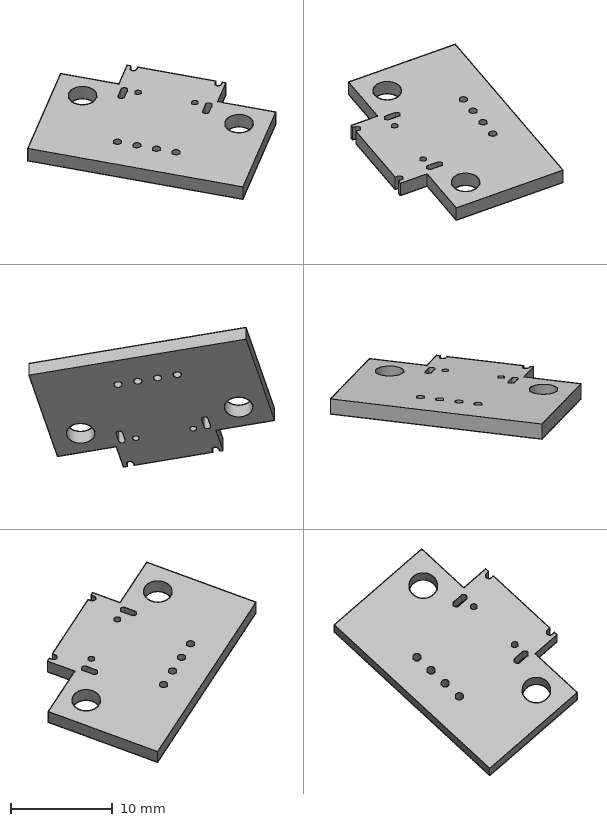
import cadquery as cq

board_width = 22.0
board_length = 15.0
thickness = 1.6
tab_width = 10.1
tab_length = 3.0
body_length = board_length - tab_length

mount_diameter = 2.8
mount_spacing = 16.0
mount_y = 9.3

pin_diameter = 0.8
pin_pitch = 2.0
pin_count = 4
pin_row_center_x = 0.22
pin_y = 3.37

peg_diameter = 0.65
peg_spacing = 5.8
connector_center_x = 0.03
peg_y = 11.25

slot_width = 0.65
slot_length = 1.7
slot_spacing = 8.65
slot_y = 10.74
notch_depth = slot_width


def mirrored_pair(center_x, spacing, y):
    """Two points set equally to the left and right of center_x."""
    return [(center_x + side * spacing / 2, y) for side in (-1, 1)]


def make_board():
    body = cq.Workplane("XY").box(board_width, body_length, thickness, centered=(True, False, False))
    tab = cq.Workplane("XY").box(tab_width, board_length, thickness, centered=(True, False, False))
    return body.union(tab)


def round_cutter(points, diameter):
    return cq.Workplane("XY").pushPoints(points).circle(diameter / 2).extrude(thickness)


def slot_cutter(points, length):
    return cq.Workplane("XY").pushPoints(points).slot2D(length, slot_width, 90).extrude(thickness)


pin_row_start_x = pin_row_center_x - pin_pitch * (pin_count - 1) / 2
pin_points = [(pin_row_start_x + i * pin_pitch, pin_y) for i in range(pin_count)]

result = make_board()
result = result.cut(round_cutter(mirrored_pair(0, mount_spacing, mount_y), mount_diameter))
result = result.cut(round_cutter(pin_points, pin_diameter))
result = result.cut(round_cutter(mirrored_pair(connector_center_x, peg_spacing, peg_y), peg_diameter))
result = result.cut(slot_cutter(mirrored_pair(connector_center_x, slot_spacing, slot_y), slot_length))

notch_points = mirrored_pair(connector_center_x, slot_spacing, board_length)
result = result.cut(slot_cutter(notch_points, 2 * notch_depth))